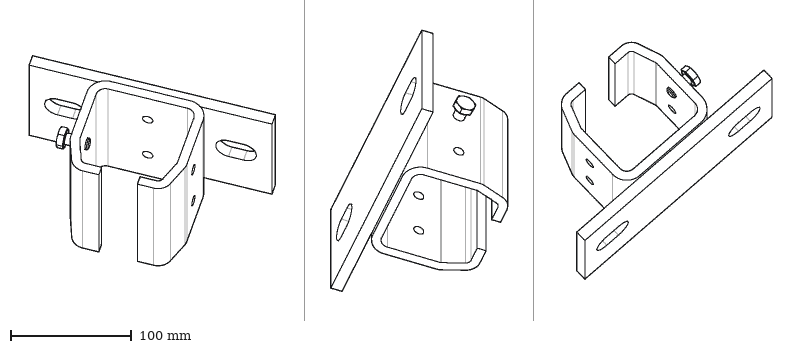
import cadquery as cq
import math


PLATE_WIDTH = 210.0
PLATE_THICKNESS = 10.0
PLATE_HEIGHT = 100.0
SLOT_LENGTH = 35.0
SLOT_HEIGHT = 22.0
SLOT_OFFSET = 74.0

OVERALL_DEPTH = 104.0

CHANNEL_WIDTH = 100.4
CHANNEL_DEPTH = OVERALL_DEPTH - PLATE_THICKNESS
CHANNEL_HEIGHT = 110.0
WALL = 8.0
KNEE_DEPTH = 64.9
TAPER_ANGLE = 20.0
MOUTH_WIDTH = 33.2
BACK_RADIUS = 16.0
KNEE_RADIUS = 10.5
LIP_RADIUS = 12.5

HOLE_DIAMETER = 8.8
BACK_HOLE_OFFSET = 25.0
SIDE_HOLE_DEPTH = 43.9
SIDE_HOLE_OFFSET = 22.0

SHANK_DIAMETER = 10.0
SHANK_LENGTH = 20.0
SHANK_CHAMFER = 1.0
HEAD_SIDES = 6
HEAD_HEIGHT = 6.3
HEAD_ACROSS_FLATS = 16.2
HEAD_ROTATION = 9.0
BEVEL_ANGLE = 20.0
BEARING_HEIGHT = 0.6
BOLT_TIP_X = -40.0


def make_plate():
    plate = cq.Workplane("XZ").rect(PLATE_WIDTH, PLATE_HEIGHT).extrude(-PLATE_THICKNESS)
    slots = (
        cq.Workplane("XZ")
        .pushPoints([(-SLOT_OFFSET, 0), (SLOT_OFFSET, 0)])
        .slot2D(SLOT_LENGTH, SLOT_HEIGHT)
        .extrude(-PLATE_THICKNESS)
    )
    return plate.cut(slots)


def channel_envelope():
    """Solid bar with the channel's outer outline, bends rounded."""
    half_width = CHANNEL_WIDTH / 2
    taper_run = (CHANNEL_DEPTH - KNEE_DEPTH) * math.tan(math.radians(TAPER_ANGLE))
    half_lip = half_width - taper_run
    bar = (
        cq.Workplane("XY", origin=(0, 0, -CHANNEL_HEIGHT / 2))
        .polyline([
            (-half_width, 0),
            (half_width, 0),
            (half_width, -KNEE_DEPTH),
            (half_lip, -CHANNEL_DEPTH),
            (-half_lip, -CHANNEL_DEPTH),
            (-half_width, -KNEE_DEPTH),
        ])
        .close()
        .extrude(CHANNEL_HEIGHT)
    )
    bar = bar.edges("|Z and (not >Y) and (not <Y)").fillet(KNEE_RADIUS)
    bar = bar.edges("|Z and >Y").fillet(BACK_RADIUS)
    return bar.edges("|Z and <Y").fillet(LIP_RADIUS)


def side_bore(diameter, z, x_start, x_end):
    """Cylinder along X at the side holes' depth."""
    return (
        cq.Workplane("YZ", origin=(x_start, -SIDE_HOLE_DEPTH, z))
        .circle(diameter / 2)
        .extrude(x_end - x_start)
    )


def make_channel():
    bar = channel_envelope()
    hollow = (
        bar.faces("<Z")
        .wires()
        .toPending()
        .offset2D(-WALL)
        .extrude(CHANNEL_HEIGHT, combine=False)
    )
    mouth = (
        cq.Workplane("XY", origin=(0, -CHANNEL_DEPTH, 0))
        .box(MOUTH_WIDTH, 2 * WALL, CHANNEL_HEIGHT)
    )
    channel = bar.cut(hollow).cut(mouth)

    back_holes = (
        cq.Workplane("XZ")
        .pushPoints([(0, -BACK_HOLE_OFFSET), (0, BACK_HOLE_OFFSET)])
        .circle(HOLE_DIAMETER / 2)
        .extrude(WALL)
    )
    channel = channel.cut(back_holes)

    half_width = CHANNEL_WIDTH / 2
    for z in (-SIDE_HOLE_OFFSET, SIDE_HOLE_OFFSET):
        channel = channel.cut(side_bore(HOLE_DIAMETER, z, -half_width, half_width))

    return channel.cut(side_bore(SHANK_DIAMETER, SIDE_HOLE_OFFSET, -half_width, 0))


def make_bolt():
    """Bolt modelled along Z with the shank starting at Z = 0, then turned to point along +X."""
    shank = (
        cq.Workplane("XY")
        .circle(SHANK_DIAMETER / 2)
        .extrude(SHANK_LENGTH)
        .faces(">Z")
        .chamfer(SHANK_CHAMFER)
    )
    bearing = cq.Workplane("XY").circle(HEAD_ACROSS_FLATS / 2).extrude(-BEARING_HEIGHT)
    across_corners = HEAD_ACROSS_FLATS / math.cos(math.pi / HEAD_SIDES)
    hexagon = (
        cq.Workplane("XY", origin=(0, 0, -HEAD_HEIGHT))
        .polygon(HEAD_SIDES, across_corners)
        .extrude(HEAD_HEIGHT - BEARING_HEIGHT)
        .rotate((0, 0, 0), (0, 0, 1), 90 - HEAD_ROTATION)
    )

    bevel_run = HEAD_HEIGHT / math.tan(math.radians(BEVEL_ANGLE))
    top_radius = HEAD_ACROSS_FLATS / 2
    bevel_cone = (
        cq.Workplane("XZ")
        .polyline([
            (0, -HEAD_HEIGHT),
            (top_radius, -HEAD_HEIGHT),
            (top_radius + bevel_run, 0),
            (0, 0),
        ])
        .close()
        .revolve(360, (0, 0), (0, 1))
    )
    head = hexagon.intersect(bevel_cone)
    bolt = head.union(bearing).union(shank).rotate((0, 0, 0), (0, 1, 0), 90)
    return bolt.translate((BOLT_TIP_X - SHANK_LENGTH, -SIDE_HOLE_DEPTH, SIDE_HOLE_OFFSET))


plate = make_plate()
channel = make_channel()
bolt = make_bolt()

result = cq.Compound.makeCompound([plate.val(), channel.val(), bolt.val()])